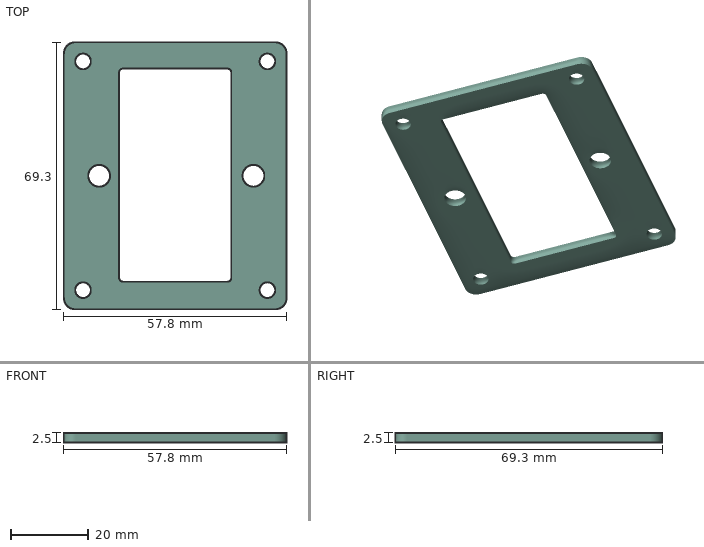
import cadquery as cq

plate_width = 57.8
plate_length = 69.3
thickness = 2.5
corner_radius = 3.0

window_width = 29.05
window_length = 55.2
window_corner_radius = 1.0
window_offset_y = 0.17

corner_hole_diameter = 4.0
corner_hole_inset = 5.0
corner_hole_spacing_x = plate_width - 2 * corner_hole_inset
corner_hole_spacing_y = plate_length - 2 * corner_hole_inset

side_hole_diameter = 5.6
side_hole_spacing = 40.0
side_hole_offset_x = 0.28


def rounded_block(width, length, radius):
    """Block of plate thickness with rounded vertical edges, resting on Z = 0."""
    block = cq.Workplane("XY").rect(width, length).extrude(thickness)
    return block.edges("|Z").fillet(radius)


def hole_pins(points, diameter):
    """Cylinders of plate thickness used to cut through holes at the points."""
    return cq.Workplane("XY").pushPoints(points).circle(diameter / 2).extrude(thickness)


corner_hole_points = [
    (side_x * corner_hole_spacing_x / 2, side_y * corner_hole_spacing_y / 2)
    for side_x in (-1, 1)
    for side_y in (-1, 1)
]
side_hole_points = [
    (side_hole_offset_x + side_x * side_hole_spacing / 2, 0)
    for side_x in (-1, 1)
]

plate = rounded_block(plate_width, plate_length, corner_radius)
window = rounded_block(window_width, window_length, window_corner_radius)

result = (
    plate.cut(window.translate((0, window_offset_y, 0)))
    .cut(hole_pins(corner_hole_points, corner_hole_diameter))
    .cut(hole_pins(side_hole_points, side_hole_diameter))
)